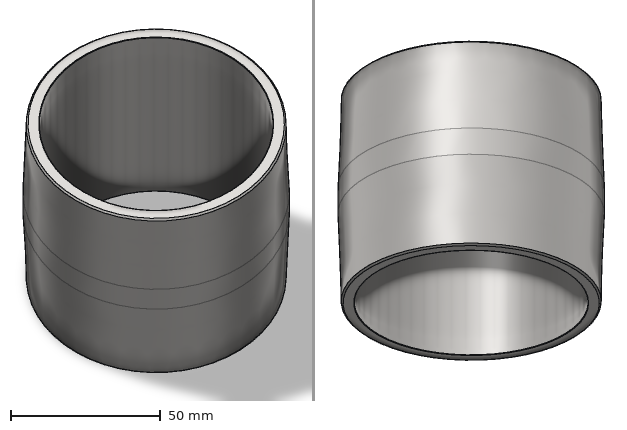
import cadquery as cq

band_diameter = 88.9
end_diameter = 86.7
bore_diameter = 78.0
height = 76.2
band_height = 9.8
outer_chamfer = 0.6
bore_chamfer = 0.2

band_radius = band_diameter / 2
end_radius = end_diameter / 2
bore_radius = bore_diameter / 2
half_height = height / 2
half_band = band_height / 2


def tapered_sleeve():
    """Revolve the wall section about Z, centred on the origin."""
    wall_section = (
        cq.Workplane("XZ")
        .moveTo(bore_radius, -half_height)
        .lineTo(end_radius, -half_height)
        .lineTo(band_radius, -half_band)
        .lineTo(band_radius, half_band)
        .lineTo(end_radius, half_height)
        .lineTo(bore_radius, half_height)
        .close()
    )
    return wall_section.revolve(360, (0, 0, 0), (0, 1, 0))


def chamfer_rims(sleeve):
    """Break the outer and bore edges at both ends."""
    for face in (">Z", "<Z"):
        rim_edges = sleeve.faces(face).edges()
        bore_edge = cq.selectors.RadiusNthSelector(0)
        sleeve = rim_edges.edges(bore_edge).chamfer(bore_chamfer)
        outer_edge = cq.selectors.RadiusNthSelector(1)
        sleeve = sleeve.faces(face).edges(outer_edge).chamfer(outer_chamfer)
    return sleeve


result = chamfer_rims(tapered_sleeve())